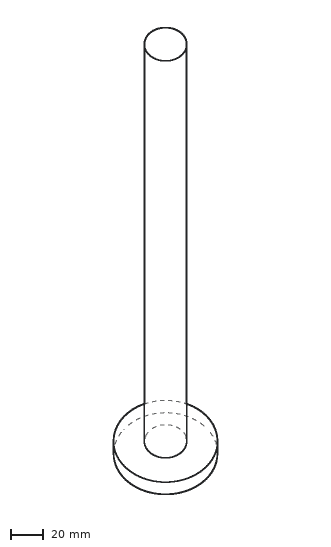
import cadquery as cq

total_height = 407.0
flange_diameter = 64.0
flange_thickness = 12.2
rod_diameter = 26.0

flange = cq.Workplane("XY").circle(flange_diameter / 2).extrude(flange_thickness)

result = (
    flange.faces(">Z")
    .workplane()
    .circle(rod_diameter / 2)
    .extrude(total_height - flange_thickness)
)